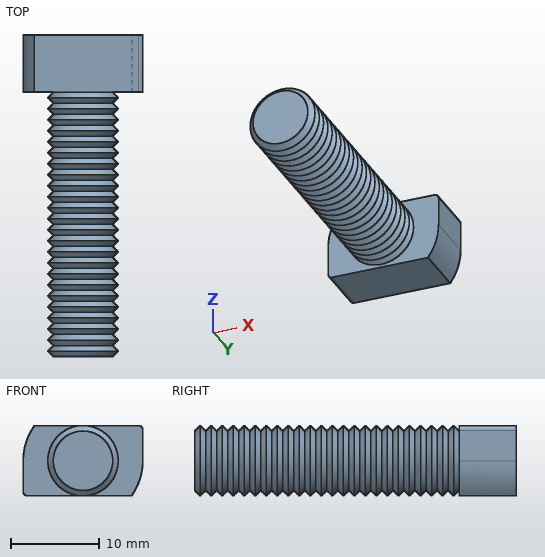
import cadquery as cq
import math

total_length = 36.5
head_width = 13.6
head_height = 8.0
head_length = 6.5
corner_radius = 0.5
crest_diameter = head_height
thread_depth = 0.62
thread_count = 24

shank_length = total_length - head_length
pitch = shank_length / thread_count
crest_radius = crest_diameter / 2
root_radius = crest_radius - thread_depth
half_width = head_width / 2
half_height = head_height / 2


def point_on_turning_arc(z):
    """Point at height z on the circle about the bolt axis that just reaches the head's sides."""
    return (-math.sqrt(half_width**2 - z**2), z)


def opposite(point):
    """The same point after half a turn about the bolt axis."""
    return (-point[0], -point[1])


def make_head():
    """T-slot head: two opposite corners rounded for turning, the other two lightly filleted."""
    arc_start = (-half_width, 0)
    arc_middle = point_on_turning_arc(half_height / 2)
    arc_end = point_on_turning_arc(half_height)
    square_corner = (half_width, half_height)
    outline = (
        cq.Workplane("XZ")
        .moveTo(*arc_start)
        .threePointArc(arc_middle, arc_end)
        .lineTo(*square_corner)
        .lineTo(*opposite(arc_start))
        .threePointArc(opposite(arc_middle), opposite(arc_end))
        .lineTo(*opposite(square_corner))
        .close()
    )
    head = outline.extrude(-head_length)
    for corner in (square_corner, opposite(square_corner)):
        corner_edge = cq.selectors.NearestToPointSelector((corner[0], head_length / 2, corner[1]))
        head = head.edges(corner_edge).fillet(corner_radius)
    return head


def make_threaded_shank():
    """Shank with ring-shaped V threads, running from the head's underside toward -Y."""
    profile = cq.Workplane("XY").moveTo(0, 0).lineTo(root_radius, 0)
    for thread in range(thread_count):
        crest_y = -(thread + 0.5) * pitch
        root_y = -(thread + 1) * pitch
        profile = profile.lineTo(crest_radius, crest_y).lineTo(root_radius, root_y)
    profile = profile.lineTo(0, -shank_length).close()
    return profile.revolve(360, (0, 0), (0, 1))


result = make_head().union(make_threaded_shank())